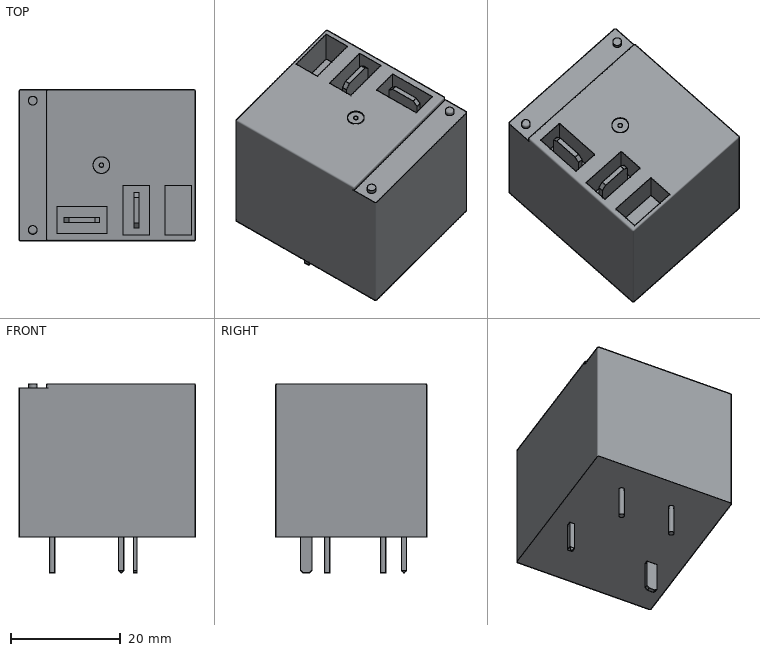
import cadquery as cq

length = 32.2
width = 27.6
height_over_pins = 34.5
pin_length = 6.52
cover_top = height_over_pins - pin_length
edge_radius = 0.3

ledge_depth = 0.75
ledge_width = 5.0
ledge_z = cover_top - ledge_depth
peg_diameter = 1.6
peg_x = -13.6
peg_y = 11.8

pocket_length = 9.07
pocket_width = 4.85
pocket_depth = 6.9
com_center = (-4.62, -9.97)
no_center = (5.3, -8.2)
nc_center = (12.97, -8.2)

blade_length = 6.5
blade_thickness = 0.9
blade_chamfer = 0.9
blade_recess = 0.1

dimple_center = (-1.07, 0.05)
dimple_diameter = 3.05
dimple_depth = 0.2
boss_diameter = 0.8
boss_recess = 0.1

coil_pin_diameter = 1.0
coil_pin_centers = [(-10.07, 5.8), (-10.07, -4.4)]
square_pin_side = 1.0
square_pin_center = (2.55, 9.63)
flat_pin_thickness = 0.7
flat_pin_width = 2.1
flat_pin_center = (5.1, -8.2)
tip_chamfer = 0.45


def block(size_x, size_y, bottom, top, center=(0, 0)):
    """Box between two heights, centred on the given XY point."""
    box = cq.Workplane("XY").box(size_x, size_y, top - bottom, centered=(True, True, False))
    return box.translate((center[0], center[1], bottom))


def cylinder(diameter, bottom, top, center):
    """Upright cylinder between two heights."""
    disc = cq.Workplane("XY").workplane(offset=bottom).center(*center).circle(diameter / 2)
    return disc.extrude(top - bottom)


def make_housing():
    """Box with rounded corners, carrying a raised cover beside the ledge."""
    base = block(length, width, 0, ledge_z).edges("|Z").fillet(edge_radius)
    cover = block(length - ledge_width, width, 0, cover_top, (ledge_width / 2, 0))
    cover = cover.edges("|Z or >Z").fillet(edge_radius)
    return base.union(cover)


def make_pocket(center, turned):
    """Pocket cutter, long along X, or along Y when turned."""
    pocket = block(pocket_length, pocket_width, cover_top - pocket_depth, cover_top)
    if turned:
        pocket = pocket.rotate((0, 0, 0), (0, 0, 1), 90)
    return pocket.translate((center[0], center[1], 0))


def make_blade(center, turned):
    """Blade standing on the pocket floor, with its two top corners cut off."""
    blade = block(blade_length, blade_thickness, cover_top - pocket_depth, cover_top - blade_recess)
    blade = blade.edges(">Z and |Y").chamfer(blade_chamfer)
    if turned:
        blade = blade.rotate((0, 0, 0), (0, 0, 1), 90)
    return blade.translate((center[0], center[1], 0))


def make_pegs():
    """Plain peg at the +Y end of the ledge and a round-edged one at the -Y end."""
    plain = cylinder(peg_diameter, ledge_z, cover_top, (peg_x, peg_y))
    rounded = cylinder(peg_diameter, ledge_z, cover_top, (peg_x, -peg_y))
    return plain.union(rounded.faces(">Z").edges().fillet(edge_radius))


def make_pins():
    """Two round coil pins, a square pointed pin and a flat pin."""
    square = block(square_pin_side, square_pin_side, -pin_length, 0, square_pin_center)
    square = square.faces("<Z").chamfer(tip_chamfer)
    flat = block(flat_pin_thickness, flat_pin_width, -pin_length, 0, flat_pin_center)
    flat = flat.edges("<Z and |X").chamfer(tip_chamfer)
    pins = square.union(flat)
    for center in coil_pin_centers:
        pins = pins.union(cylinder(coil_pin_diameter, -pin_length, 0, center))
    return pins


result = make_housing()
for pocket_center, is_turned in [(com_center, False), (no_center, True), (nc_center, True)]:
    result = result.cut(make_pocket(pocket_center, is_turned))
for blade_center, is_turned in [(com_center, False), (no_center, True)]:
    result = result.union(make_blade(blade_center, is_turned))
result = result.cut(cylinder(dimple_diameter, cover_top - dimple_depth, cover_top, dimple_center))
boss = cylinder(boss_diameter, cover_top - dimple_depth, cover_top - boss_recess, dimple_center)
result = result.union(boss)
result = result.union(make_pegs())
result = result.union(make_pins())